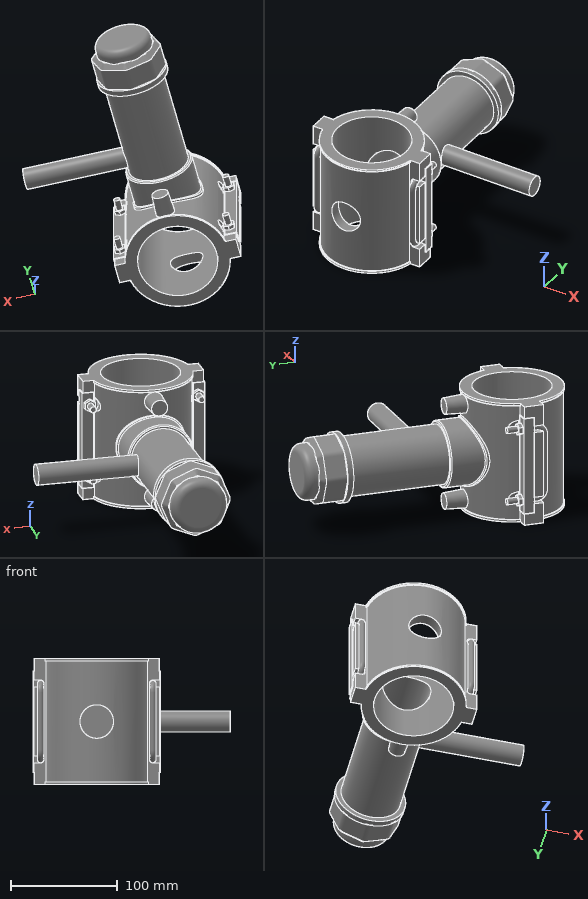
import cadquery as cq
import math

CLAMP_HEIGHT = 118.0
HALF_HEIGHT = CLAMP_HEIGHT / 2
BORE_RADIUS = 37.5
RING_RADIUS = 48.25
RIM_RADIUS = 49.25
RIM_HEIGHT = 2.3
FRONT_HOLE_DIAMETER = 31.36

LUG_REACH = 58.5
LUG_THICKNESS = 9.6
PLATE_REACH = 59.5
PLATE_TOP = 10.5
PLATE_HEIGHT = 95.0

BOLT_DIAMETER = 6.0
BOLT_X = 52.5
BOLT_Z = 35.5
BEND_RADIUS = 8.0
BOLT_TIP_Y = 25.0
BOLT_BACK_Y = -(LUG_THICKNESS + BOLT_DIAMETER / 2)
SLOT_WIDTH = 6.5
NUT_SIDES = 6
NUT_ACROSS_FLATS = 10.0
NUT_HEIGHT = 4.0
NUT_POCKET_DIAMETER = 17.0

BRANCH_END = 215.0
SOCKET_DIAMETER = 64.12
SOCKET_TOP = 73.0
SOCKET_CHAMFER = 1.2
SADDLE_DIAMETER = 67.0
SADDLE_THICKNESS = 2.0
SADDLE_RADIUS = RING_RADIUS + SADDLE_THICKNESS
BRANCH_DIAMETER = 57.38
BRANCH_BORE_DIAMETER = 47.25

COLLAR_DIAMETER = 67.5
COLLAR_START = 170.7
OCTAGON_START = 176.6
OCTAGON_END = 203.0
OCTAGON_SIDES = 8
OCTAGON_ACROSS_FLATS = 62.5
OCTAGON_CORNER_RADIUS = 7.0
OCTAGON_CHAMFER = 5.2
CAP_DIAMETER = 54.0
CAP_ROUNDING = 7.3

OUTLET_DIAMETER = 20.0
OUTLET_END = 125.0
OUTLET_Y = 87.5

BOSS_TIP_DIAMETER = 15.6
BOSS_TIP_Y = 68.0
BOSS_ROOT_Y = 42.0
BOSS_Z = 47.3
BOSS_DRAFT = 3.5

SIDES = (-1, 1)


def rod_y(diameter, start, end, x=0.0, z=0.0):
    """Cylinder parallel to Y between two Y positions."""
    length = end - start
    return cq.Workplane(cq.Solid.makeCylinder(diameter / 2, length, cq.Vector(x, start, z), cq.Vector(0, 1, 0)))


def prism_y(sides, across_flats, start, end):
    """Regular prism about the Y axis with one corner pointing along +Z."""
    across_corners = across_flats / math.cos(math.pi / sides)
    base = cq.Workplane("XZ", origin=(0, start, 0)).transformed(rotate=(0, 0, 90))
    return base.polygon(sides, across_corners).extrude(start - end)


def box_between(x_range, y_range, z_range):
    """Box from its three coordinate ranges."""
    size = [high - low for low, high in (x_range, y_range, z_range)]
    corner = (x_range[0], y_range[0], z_range[0])
    return cq.Workplane().box(*size, centered=False).translate(corner)


def disc_z(radius, bottom, height):
    """Cylinder about the Z axis."""
    return cq.Workplane("XY", origin=(0, 0, bottom)).circle(radius).extrude(height)


def clamp_blank():
    """Solid ring with end rims and two lugs, before any hole is cut."""
    blank = disc_z(RING_RADIUS, -HALF_HEIGHT, CLAMP_HEIGHT)
    blank = blank.union(disc_z(RIM_RADIUS, -HALF_HEIGHT, RIM_HEIGHT))
    blank = blank.union(disc_z(RIM_RADIUS, HALF_HEIGHT - RIM_HEIGHT, RIM_HEIGHT))
    return blank.union(cq.Workplane().box(2 * LUG_REACH, 2 * LUG_THICKNESS, CLAMP_HEIGHT))


def bolt_slot(side, level):
    """Round-ended slot through the front half of a lug, open at the outer side."""
    z = level * BOLT_Z
    x_range = sorted((side * BOLT_X, side * PLATE_REACH))
    z_range = (z - SLOT_WIDTH / 2, z + SLOT_WIDTH / 2)
    slot = box_between(x_range, (-LUG_THICKNESS, 0), z_range)
    return slot.union(rod_y(SLOT_WIDTH, -LUG_THICKNESS, 0, side * BOLT_X, z))


def clamp():
    """Clamp with bolt slots, nut pockets, lug plates and the front hole."""
    body = clamp_blank()
    for side in SIDES:
        for level in SIDES:
            pocket = rod_y(NUT_POCKET_DIAMETER, PLATE_TOP, RIM_RADIUS, side * BOLT_X, level * BOLT_Z)
            body = body.cut(bolt_slot(side, level)).cut(pocket)
        x_range = sorted((side * RING_RADIUS, side * PLATE_REACH))
        top_plate = box_between(x_range, (LUG_THICKNESS, PLATE_TOP), (-PLATE_HEIGHT / 2, PLATE_HEIGHT / 2))
        x_range = sorted((side * LUG_REACH, side * PLATE_REACH))
        side_plate = box_between(x_range, (0, PLATE_TOP), (-PLATE_HEIGHT / 2, PLATE_HEIGHT / 2))
        body = body.union(top_plate).union(side_plate)
    return body.cut(rod_y(FRONT_HOLE_DIAMETER, -RIM_RADIUS, 0))


def u_bolt(side):
    """U-shaped rod with two nuts: legs along Y, back along Z."""
    inset = BEND_RADIUS * (1 - math.sqrt(0.5))
    bend_y = BOLT_BACK_Y + BEND_RADIUS
    bend_z = BOLT_Z - BEND_RADIUS
    path = (
        cq.Workplane("YZ", origin=(side * BOLT_X, 0, 0))
        .moveTo(BOLT_TIP_Y, BOLT_Z)
        .lineTo(bend_y, BOLT_Z)
        .threePointArc((BOLT_BACK_Y + inset, BOLT_Z - inset), (BOLT_BACK_Y, bend_z))
        .lineTo(BOLT_BACK_Y, -bend_z)
        .threePointArc((BOLT_BACK_Y + inset, inset - BOLT_Z), (bend_y, -BOLT_Z))
        .lineTo(BOLT_TIP_Y, -BOLT_Z)
    )
    tip = cq.Workplane("XZ", origin=(side * BOLT_X, BOLT_TIP_Y, BOLT_Z))
    bolt = tip.circle(BOLT_DIAMETER / 2).sweep(path)
    for level in SIDES:
        nut = prism_y(NUT_SIDES, NUT_ACROSS_FLATS, PLATE_TOP, PLATE_TOP + NUT_HEIGHT)
        nut = nut.translate((side * BOLT_X, 0, level * BOLT_Z))
        bolt = bolt.union(nut)
    return bolt


def branch_pipe():
    """Saddle, socket and pipe of the branch."""
    saddle = rod_y(SADDLE_DIAMETER, 0, SADDLE_RADIUS)
    saddle = saddle.intersect(disc_z(SADDLE_RADIUS, -HALF_HEIGHT, CLAMP_HEIGHT))
    socket = rod_y(SOCKET_DIAMETER, 0, SOCKET_TOP).faces(">Y").chamfer(SOCKET_CHAMFER)
    return saddle.union(socket).union(rod_y(BRANCH_DIAMETER, 0, OCTAGON_START))


def cap_nut():
    """Collar, chamfered octagon and domed end cap."""
    collar = rod_y(COLLAR_DIAMETER, COLLAR_START, OCTAGON_START)
    octagon = (
        prism_y(OCTAGON_SIDES, OCTAGON_ACROSS_FLATS, OCTAGON_START, OCTAGON_END)
        .edges("|Y")
        .fillet(OCTAGON_CORNER_RADIUS)
        .faces(">Y")
        .chamfer(OCTAGON_CHAMFER)
    )
    cap = rod_y(CAP_DIAMETER, OCTAGON_START, BRANCH_END).faces(">Y").edges().fillet(CAP_ROUNDING)
    return collar.union(octagon).union(cap)


def side_outlet():
    """Plain round outlet leaving the branch along +X."""
    return cq.Workplane("YZ").center(OUTLET_Y, 0).circle(OUTLET_DIAMETER / 2).extrude(OUTLET_END)


def boss(level):
    """Boss that widens from its tip down into the ring wall."""
    tip = cq.Workplane("XZ", origin=(0, BOSS_TIP_Y, level * BOSS_Z))
    return tip.circle(BOSS_TIP_DIAMETER / 2).extrude(BOSS_TIP_Y - BOSS_ROOT_Y, taper=-BOSS_DRAFT)


body = clamp().union(branch_pipe()).union(cap_nut()).union(side_outlet())
for direction in SIDES:
    body = body.union(boss(direction))

body = body.cut(disc_z(BORE_RADIUS, -HALF_HEIGHT, CLAMP_HEIGHT))
body = body.cut(rod_y(BRANCH_BORE_DIAMETER, 0, OCTAGON_START))

front_space = box_between((-PLATE_REACH, PLATE_REACH), (-RIM_RADIUS, 0), (-HALF_HEIGHT, HALF_HEIGHT))
result = body.cut(front_space).union(body.intersect(front_space), clean=False)
for direction in SIDES:
    result = result.union(u_bolt(direction), clean=False)